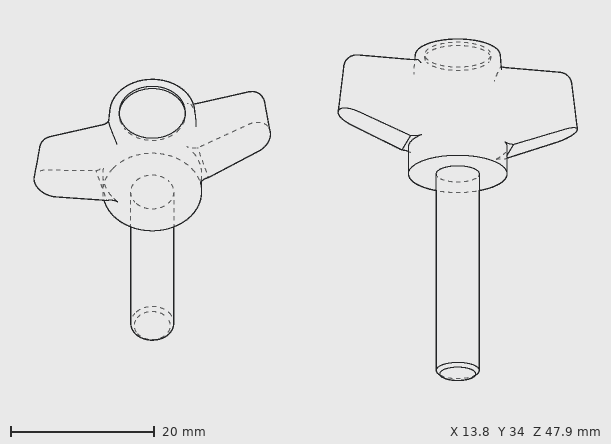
import cadquery as cq
import math

stud_diameter = 6.0
stud_length = 30.0
stud_chamfer = 0.5

collar_diameter = 13.75
collar_height = 4.0
hub_top_diameter = 11.85
hub_top_z = 17.9
hub_rim_radius = 0.15

recess_diameter = 9.19
recess_depth = 0.5

wing_top_z = 16.42
wing_tip_y = 17.0
wing_tip_low_z = 8.0
wing_root_low_y = 7.35
wing_top_half_width = 1.66
wing_side_draft = 5.0
wing_tip_draft = 6.6
wing_crest_radius = 1.77
wing_root_low_radius = 1.65
wing_root_top_radius = 1.3
wing_root_sink = 0.01
wing_tip_flat = 0.08

collar_radius = collar_diameter / 2
hub_top_radius = hub_top_diameter / 2


def hub_radius(z):
    """Radius of the tapered hub at height z."""
    share = (z - collar_height) / (hub_top_z - collar_height)
    return collar_radius + share * (hub_top_radius - collar_radius)


def wing_half_width(z):
    return wing_top_half_width + (wing_top_z - z) * math.tan(math.radians(wing_side_draft))


def wing_reach(z):
    return wing_tip_y - (z - wing_tip_low_z) * math.tan(math.radians(wing_tip_draft))


def make_stud():
    stud = cq.Workplane("XY").circle(stud_diameter / 2).extrude(-stud_length)
    return stud.faces("<Z").chamfer(stud_chamfer)


def make_hub():
    """Cylindrical collar under a tapered hub with a softened top rim."""
    profile = [
        (0, 0),
        (collar_radius, 0),
        (collar_radius, collar_height),
        (hub_top_radius, hub_top_z),
        (0, hub_top_z),
    ]
    hub = cq.Workplane("XZ").polyline(profile).close().revolve(360, (0, 0, 0), (0, 1, 0))
    return hub.faces(">Z").edges().fillet(hub_rim_radius)


def make_wing_outline(z, root_radius):
    """Wing section at height z: rounded tip, straight sides, roots flaring into the hub."""
    half_width = wing_half_width(z)
    tip_y = wing_reach(z)
    blend_x = half_width + root_radius
    seat_radius = hub_radius(z) - wing_root_sink
    blend_distance = seat_radius + root_radius
    blend_y = math.sqrt(blend_distance**2 - blend_x**2)
    seat_share = seat_radius / blend_distance
    root_x = blend_x * seat_share
    root_y = blend_y * seat_share
    middle_angle = math.pi + math.atan2(blend_y, blend_x) / 2
    middle_x = blend_x + root_radius * math.cos(middle_angle)
    middle_y = blend_y + root_radius * math.sin(middle_angle)
    flat_x = wing_tip_flat / 2
    corner_radius = half_width - flat_x
    corner_y = tip_y - corner_radius
    diagonal = corner_radius * math.sqrt(0.5)
    return (
        cq.Workplane("XY", origin=(0, 0, z))
        .moveTo(root_x, root_y)
        .threePointArc((middle_x, middle_y), (half_width, blend_y))
        .lineTo(half_width, corner_y)
        .threePointArc((flat_x + diagonal, corner_y + diagonal), (flat_x, tip_y))
        .lineTo(-flat_x, tip_y)
        .threePointArc((-flat_x - diagonal, corner_y + diagonal), (-half_width, corner_y))
        .lineTo(-half_width, blend_y)
        .threePointArc((-middle_x, middle_y), (-root_x, root_y))
        .close()
        .val()
    )


def make_underside_cutter():
    """Wedge below the sloping underside of the wing."""
    slope = (wing_tip_low_z - collar_height) / (wing_tip_y - wing_root_low_y)
    outer_y = 2 * wing_tip_y
    outer_z = collar_height + slope * (outer_y - wing_root_low_y)
    return (
        cq.Workplane("YZ")
        .polyline([(wing_root_low_y, collar_height), (outer_y, outer_z), (outer_y, collar_height)])
        .close()
        .extrude(collar_radius, both=True)
    )


def make_wing():
    """Wing on the +Y side, with its crest rounded from side to side and around the tip."""
    low_outline = make_wing_outline(collar_height, wing_root_low_radius)
    top_outline = make_wing_outline(wing_top_z, wing_root_top_radius)
    body = cq.Solid.makeLoft([low_outline, top_outline], True)
    wing = cq.Workplane("XY").add(body)
    wing = wing.faces(">Z").edges("not(<Y)").fillet(wing_crest_radius)
    return wing.cut(make_underside_cutter())


def make_recess():
    return (
        cq.Workplane("XY", origin=(0, 0, hub_top_z - recess_depth))
        .circle(recess_diameter / 2)
        .extrude(recess_depth)
    )


result = make_hub().union(make_stud())
for turn in (0, 180):
    result = result.union(make_wing().rotate((0, 0, 0), (0, 0, 1), turn))
result = result.cut(make_recess())